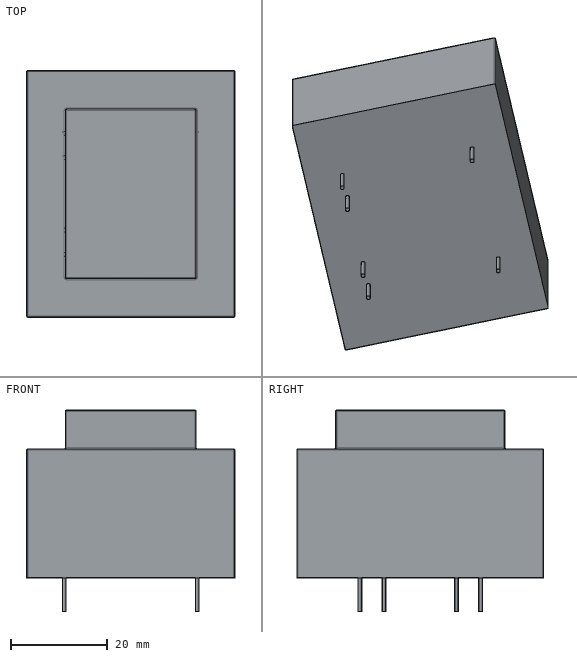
import cadquery as cq

base_width = 43.0
base_length = 51.0
overall_height = 41.6
pin_length = 7.0
edge_radius = 0.25

block_width = 27.0
block_length = 35.0
block_height = 8.0
base_height = overall_height - pin_length - block_height

pin_diameter = 0.8
pin_row_spacing = 27.5
inner_pin_spacing = 15.0
outer_pin_spacing = 25.0


def make_housing():
    """Base and raised block in one piece, rounded everywhere except around the flat underside."""
    base = cq.Workplane("XY").box(
        base_width, base_length, base_height, centered=(True, True, False)
    )
    block = (
        cq.Workplane("XY", origin=(0, 0, base_height))
        .box(block_width, block_length, block_height, centered=(True, True, False))
    )
    return base.union(block).edges("not <Z").fillet(edge_radius)


def make_pin(x, y):
    """Plain cylinder hanging from the underside of the housing."""
    return cq.Workplane("XY", origin=(x, y, 0)).circle(pin_diameter / 2).extrude(-pin_length)


outer_pair = [-outer_pin_spacing / 2, outer_pin_spacing / 2]
inner_pair = [-inner_pin_spacing / 2, inner_pin_spacing / 2]
pin_rows = [
    (-pin_row_spacing / 2, outer_pair + inner_pair),
    (pin_row_spacing / 2, outer_pair),
]

housing = make_housing()
pins = [make_pin(x, y) for x, row in pin_rows for y in row]

result = cq.Compound.makeCompound([housing.val(), *[pin.val() for pin in pins]])